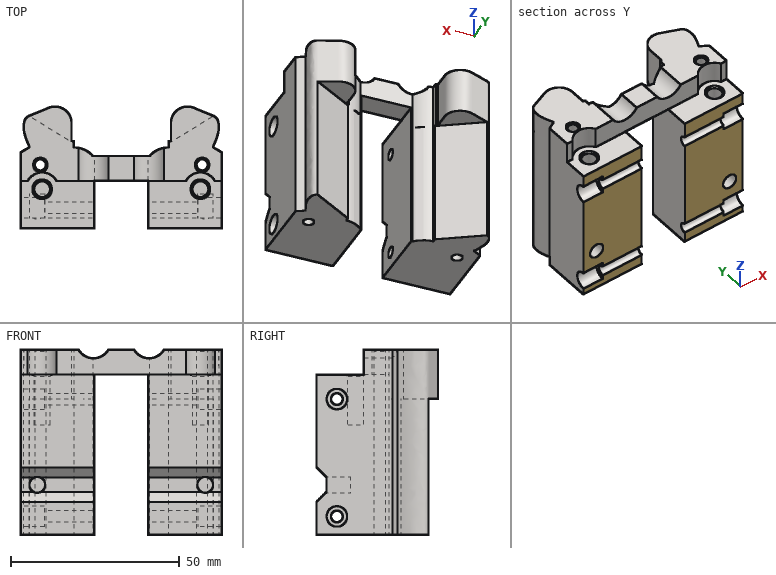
import cadquery as cq
import math

WIDTH = 59.85
DEPTH = 36.2
HEIGHT = 55.1
HALF_WIDTH = WIDTH / 2

GAP_HALF = 8.0
SHOULDER_Y = 22.6
NOTCH_X = 27.3
NOTCH_Y = 24.1
STEP_X = 14.05
STEP_BACK_Y = 26.0
STEP_FRONT_Y = 24.05
INNER_CORNER_RADIUS = 7.5

EAR_INNER_X = 14.7
EAR_OUTER_X = 29.05
EAR_OUTER_Y = 30.5
EAR_CORNER_X = 27.5
EAR_TIP_RADIUS = 4.95
EAR_SLOPE_DEGREES = 22.5
EAR_TIP_HEIGHT = 14.6

BRIDGE_HEIGHT = 7.35
BRIDGE_FRONT_Y = 14.05
BRIDGE_BACK_Y = 21.55
LEDGE_Z = HEIGHT - BRIDGE_HEIGHT

SADDLE_X = 8.25
SADDLE_RADIUS = 5.15
SADDLE_DEPTH = 2.5

GROOVE_DEPTH = 3.0
GROOVE_FLOOR_LOW_Z = 12.8
GROOVE_FLOOR_HIGH_Z = 17.1

PIN_X = 24.05
PIN_Y = 18.85
PIN_DIAMETER = 3.3
PIN_CHAMFER = 0.5

SOCKET_X = 23.5
SOCKET_Y = 11.6
SOCKET_DIAMETER = 4.7
SOCKET_DEPTH = 14.95
SOCKET_CHAMFER = 0.55
SOCKET_RELIEF_RADIUS = 4.95

BOLT_Y = 6.1
BOLT_HEIGHTS = (5.5, 40.4)
BOLT_DIAMETER = 3.4
BOLT_HEAD_DIAMETER = 6.1
BOLT_HEAD_DEPTH = 7.2

PORT_X = 24.95
PORT_Z = 14.9
PORT_DIAMETER = 4.7
PORT_DEPTH = 7.2


def point_on_circle(center_x, center_y, radius, degrees):
    angle = math.radians(degrees)
    return (center_x + radius * math.cos(angle), center_y + radius * math.sin(angle))


def make_leg():
    """Full-height leg on the +X side, with its ear."""
    slope = math.radians(EAR_SLOPE_DEGREES)
    tip_x = EAR_INNER_X + EAR_TIP_RADIUS
    tip_y = DEPTH - EAR_TIP_RADIUS
    slope_start = point_on_circle(tip_x, tip_y, EAR_TIP_RADIUS, 90 - EAR_SLOPE_DEGREES)
    slope_end = (EAR_CORNER_X, slope_start[1] - (EAR_CORNER_X - slope_start[0]) * math.tan(slope))

    along_slope = (math.cos(slope), -math.sin(slope))
    across_slope = (-math.sin(slope), -math.cos(slope))

    inner_center_y = STEP_FRONT_Y - INNER_CORNER_RADIUS
    inner_rise = (BRIDGE_BACK_Y - inner_center_y) / INNER_CORNER_RADIUS
    inner_end_degrees = 180 - math.degrees(math.asin(inner_rise))
    inner_mid_degrees = (90 + inner_end_degrees) / 2

    leg = (
        cq.Workplane("XY")
        .moveTo(NOTCH_X, NOTCH_Y)
        .lineTo(HALF_WIDTH, SHOULDER_Y)
        .lineTo(HALF_WIDTH, 0)
        .lineTo(GAP_HALF, 0)
        .lineTo(GAP_HALF, BRIDGE_BACK_Y)
        .lineTo(*point_on_circle(STEP_X, inner_center_y, INNER_CORNER_RADIUS, inner_end_degrees))
        .threePointArc(
            point_on_circle(STEP_X, inner_center_y, INNER_CORNER_RADIUS, inner_mid_degrees),
            (STEP_X, STEP_FRONT_Y),
        )
        .lineTo(STEP_X, STEP_BACK_Y)
        .lineTo(EAR_INNER_X, STEP_BACK_Y)
        .lineTo(EAR_INNER_X, tip_y)
        .threePointArc((tip_x, DEPTH), slope_start)
        .lineTo(*slope_end)
        .spline(
            [(EAR_OUTER_X, EAR_OUTER_Y), (NOTCH_X, NOTCH_Y)],
            tangents=[along_slope, across_slope],
            includeCurrent=True,
        )
        .close()
        .extrude(HEIGHT)
    )

    below_tip = (
        cq.Workplane("XY")
        .moveTo(GAP_HALF, BRIDGE_BACK_Y)
        .lineTo(*slope_end)
        .lineTo(EAR_CORNER_X, DEPTH)
        .lineTo(GAP_HALF, DEPTH)
        .close()
        .extrude(HEIGHT - EAR_TIP_HEIGHT)
    )
    return leg.cut(below_tip)


def make_bridge():
    return (
        cq.Workplane("XY")
        .box(2 * GAP_HALF, BRIDGE_BACK_Y - BRIDGE_FRONT_Y, BRIDGE_HEIGHT, centered=(True, False, False))
        .translate((0, BRIDGE_FRONT_Y, LEDGE_Z))
    )


def ledge_cutter():
    """Space above the ledge, with round reliefs behind the sockets."""
    cutter = (
        cq.Workplane("XY", origin=(0, 0, LEDGE_Z))
        .rect(WIDTH, 2 * BRIDGE_FRONT_Y)
        .extrude(BRIDGE_HEIGHT)
    )
    reliefs = (
        cq.Workplane("XY", origin=(0, 0, LEDGE_Z))
        .pushPoints([(-SOCKET_X, SOCKET_Y), (SOCKET_X, SOCKET_Y)])
        .circle(SOCKET_RELIEF_RADIUS)
        .extrude(BRIDGE_HEIGHT)
    )
    return cutter.union(reliefs)


def saddle_cutter():
    center_z = HEIGHT - SADDLE_DEPTH + SADDLE_RADIUS
    return (
        cq.Workplane("XZ")
        .pushPoints([(-SADDLE_X, center_z), (SADDLE_X, center_z)])
        .circle(SADDLE_RADIUS)
        .extrude(-DEPTH)
    )


def groove_cutter():
    return (
        cq.Workplane("YZ", origin=(-HALF_WIDTH, 0, 0))
        .moveTo(0, GROOVE_FLOOR_LOW_Z - GROOVE_DEPTH)
        .lineTo(GROOVE_DEPTH, GROOVE_FLOOR_LOW_Z)
        .lineTo(GROOVE_DEPTH, GROOVE_FLOOR_HIGH_Z)
        .lineTo(0, GROOVE_FLOOR_HIGH_Z + GROOVE_DEPTH)
        .close()
        .extrude(WIDTH)
    )


def chamfered_hole_cutter(x, y, top_z, diameter, depth, chamfer):
    """Vertical flat-bottomed hole with a 45 degree chamfer at its mouth."""
    radius = diameter / 2
    return (
        cq.Workplane("XZ")
        .lineTo(radius + chamfer, 0)
        .lineTo(radius, -chamfer)
        .lineTo(radius, -depth)
        .lineTo(0, -depth)
        .close()
        .revolve(360, (0, 0, 0), (0, 1, 0))
        .translate((x, y, top_z))
    )


def bolt_cutter(z):
    """Hole along the whole width, counterbored from both outer sides."""
    shank = cq.Workplane("YZ").center(BOLT_Y, z).circle(BOLT_DIAMETER / 2).extrude(HALF_WIDTH, both=True)
    head = (
        cq.Workplane("YZ", origin=(HALF_WIDTH - BOLT_HEAD_DEPTH, 0, 0))
        .center(BOLT_Y, z)
        .circle(BOLT_HEAD_DIAMETER / 2)
        .extrude(BOLT_HEAD_DEPTH)
    )
    return shank.union(head).union(head.mirror("YZ"))


def port_cutter():
    return (
        cq.Workplane("XZ", origin=(0, GROOVE_DEPTH + PORT_DEPTH, 0))
        .pushPoints([(-PORT_X, PORT_Z), (PORT_X, PORT_Z)])
        .circle(PORT_DIAMETER / 2)
        .extrude(GROOVE_DEPTH + PORT_DEPTH)
    )


leg = make_leg()
body = leg.union(leg.mirror("YZ")).union(make_bridge())
body = body.cut(ledge_cutter()).cut(saddle_cutter()).cut(groove_cutter()).cut(port_cutter())

for side in (-1, 1):
    body = body.cut(
        chamfered_hole_cutter(side * PIN_X, PIN_Y, HEIGHT, PIN_DIAMETER, HEIGHT, PIN_CHAMFER)
    )
    body = body.cut(
        chamfered_hole_cutter(
            side * SOCKET_X, SOCKET_Y, LEDGE_Z, SOCKET_DIAMETER, SOCKET_DEPTH, SOCKET_CHAMFER
        )
    )

for bolt_z in BOLT_HEIGHTS:
    body = body.cut(bolt_cutter(bolt_z))

result = body